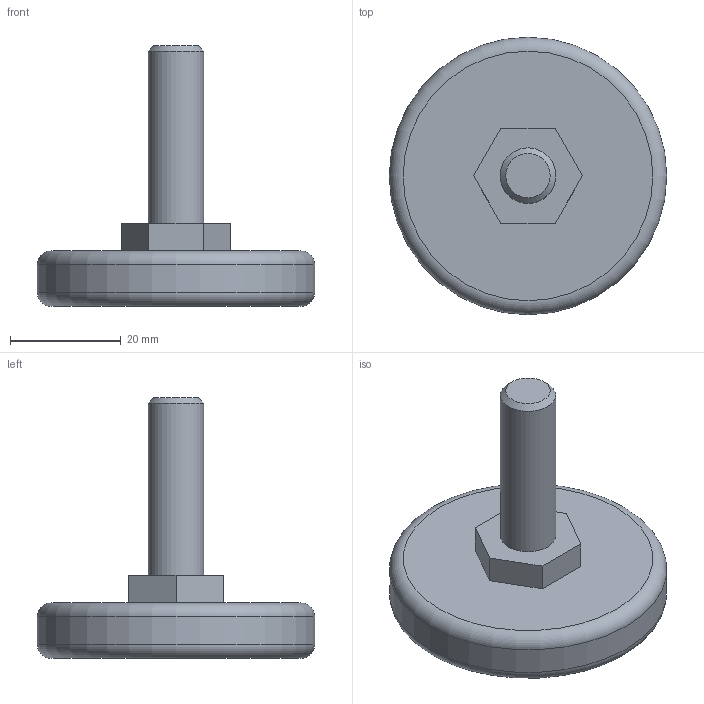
import cadquery as cq
import math

pad_diameter = 50.0
pad_height = 10.0
pad_edge_radius = 2.5

hex_sides = 6
hex_across_flats = 17.0
hex_height = 5.0
hex_across_corners = hex_across_flats / math.cos(math.pi / hex_sides)

stud_diameter = 10.0
stud_tip_chamfer = 1.0
overall_height = 47.0

hex_top = pad_height + hex_height
stud_length = overall_height - hex_top


def make_pad():
    """Round foot with its upper and lower rims rounded."""
    pad = cq.Workplane("XY").circle(pad_diameter / 2).extrude(pad_height)
    return pad.edges("%CIRCLE").fillet(pad_edge_radius)


def make_hex():
    """Hexagon on top of the pad, with two corners on the X axis."""
    base = cq.Workplane("XY").workplane(offset=pad_height)
    return base.polygon(hex_sides, hex_across_corners).extrude(hex_height)


def make_stud():
    """Plain cylindrical stud with a chamfered tip."""
    base = cq.Workplane("XY").workplane(offset=hex_top)
    stud = base.circle(stud_diameter / 2).extrude(stud_length)
    return stud.faces(">Z").edges().chamfer(stud_tip_chamfer)


result = make_pad().union(make_hex()).union(make_stud())